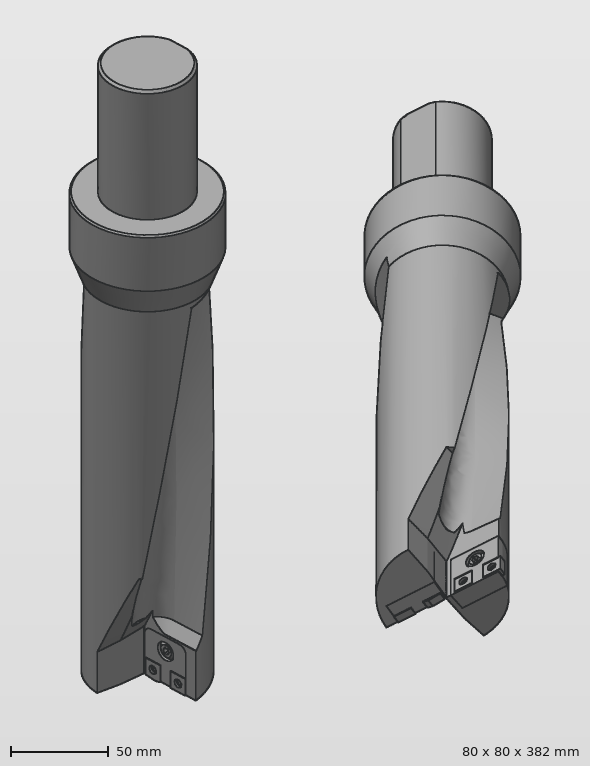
import cadquery as cq
import math

TOTAL_LENGTH = 381.99
SHANK_DIAMETER = 50.79
SHANK_LENGTH = 80.0
SHANK_CHAMFER = 1.5
COLLAR_DIAMETER = 80.0
COLLAR_CHAMFER = 1.0
COLLAR_LENGTH = 34.3
CONE_LENGTH = 17.0
DRILL_DIAMETER = 68.0

shank_radius = SHANK_DIAMETER / 2
collar_radius = COLLAR_DIAMETER / 2
drill_radius = DRILL_DIAMETER / 2
collar_top = TOTAL_LENGTH - SHANK_LENGTH
cone_top = collar_top - COLLAR_LENGTH
cone_bottom = cone_top - CONE_LENGTH
REACH = 60.0
BELOW_POINT_Z = -1.0

FLAT_Y = 23.1
FLAT_RAMP_HEIGHT = 7.0
FLAT_RAMP_RUN = 3.0

POINT_RIDGE_Z = 1.0
POINT_RISE = 4.0

TWIST_START_Z = 37.0
TWIST_PER_MM = 0.282
FLUTE_END_Z = 251.7
FLUTE_END_TILT = 12.0
FLUTE_ANGLE = 52.0
RUNOUT_HEIGHT = 6.8
RUNOUT_TAPER = 36.0
CENTRAL_FLUTE = {"start_z": 38.7, "vertex": (-13.1, 5.0), "gullet_radius": 13.2}
OUTER_FLUTE = {"start_z": 46.8, "vertex": (-6.0, 0.0), "gullet_radius": 11.2}

CENTRAL_WALL_X = -2.0
OUTER_WALL_X = 2.5
POCKET_WALL_BEND_Y = -18.0
POCKET_WALL_BEND = 5.4
POCKET_TOP_Z = 30.5
SLANT_MID_Z = 63.0
SLANT_BULGE = 3.0
SLANT_TOP = (20.8, 84.0)

CASSETTE_WIDTH = 29.0
CASSETTE_THICKNESS = 11.0
CASSETTE_TOP_Z = POCKET_TOP_Z
CASSETTE_CORNER = 4.5
CASSETTE_BACK_CORNER = 2.5
OUTER_FLAT_DEPTH = 4.0

INSERT_SIZE = 10.5
INSERT_THICKNESS = 4.0
INSERT_PROUD = 0.4
INNER_INSERT_GAP = 0.8
OUTER_INSERT_GAP = 2.5
OUTER_INSERT_OVERHANG = 1.3
OUTER_INSERT_BOTTOM_Z = 2.0
INSERT_BORE = 4.8
INSERT_BORE_DEPTH = 1.5
INSERT_HOLE = 3.0
TIP_OFFSET = 2.0
TIP_DROP = 0.8

SCREW_DIAMETER = 11.0
SCREW_LENGTH = 8.0
SCREW_SINK = 0.3
SCREW_CHAMFER = 1.8
SOCKET_SIDES = 6
SOCKET_DIAMETER = 4.0
SOCKET_DEPTH = 3.0
SCREW_Z = 21.5
SCREW_FROM_CASSETTE_SIDE = 14.7

AXIS_BOTTOM = (0, 0, 0)
AXIS_TOP = (0, 0, 1)


def half_turn(shape):
    """The same shape on the opposite side of the drill axis."""
    return shape.rotate(AXIS_BOTTOM, AXIS_TOP, 180)


def box_between(x_range, y_range, z_range):
    size = [high - low for low, high in (x_range, y_range, z_range)]
    corner = (x_range[0], y_range[0], z_range[0])
    return cq.Workplane("XY").box(*size, centered=False).translate(corner)


def make_blank():
    """Turned shank, collar, cone and drill body."""
    profile = [
        (0, 0),
        (drill_radius, 0),
        (drill_radius, cone_bottom),
        (collar_radius, cone_top),
        (collar_radius, collar_top - COLLAR_CHAMFER),
        (collar_radius - COLLAR_CHAMFER, collar_top),
        (shank_radius, collar_top),
        (shank_radius, TOTAL_LENGTH - SHANK_CHAMFER),
        (shank_radius - SHANK_CHAMFER, TOTAL_LENGTH),
        (0, TOTAL_LENGTH),
    ]
    return cq.Workplane("XZ").polyline(profile).close().revolve(360, (0, 0), (0, 1))


def make_shank_flat():
    profile = [
        (FLAT_Y + FLAT_RAMP_RUN, collar_top),
        (FLAT_Y, collar_top + FLAT_RAMP_HEIGHT),
        (FLAT_Y, TOTAL_LENGTH),
        (REACH, TOTAL_LENGTH),
        (REACH, collar_top),
    ]
    return cq.Workplane("YZ").polyline(profile).close().extrude(shank_radius, both=True)


def make_point_cutter():
    """Material below the two sloping faces of the drill point."""
    slope = POINT_RISE / drill_radius
    profile = [
        (0, POINT_RIDGE_Z),
        (REACH, POINT_RIDGE_Z + slope * REACH),
        (REACH, BELOW_POINT_Z),
        (-REACH, BELOW_POINT_Z),
        (-REACH, POINT_RIDGE_Z + slope * REACH),
    ]
    return cq.Workplane("YZ").polyline(profile).close().extrude(REACH, both=True)


def make_flute(start_z, vertex, gullet_radius):
    """Helical flute on the +X side; vertex is where its two straight walls would meet."""
    angle = math.radians(FLUTE_ANGLE)
    tangent = gullet_radius / math.tan(angle / 2)
    to_middle = gullet_radius / math.sin(angle / 2) - gullet_radius

    def from_vertex(distance, direction):
        return (
            vertex[0] + distance * math.cos(direction),
            vertex[1] - distance * math.sin(direction),
        )

    def section():
        return (
            cq.Workplane("XY", origin=(0, 0, start_z))
            .moveTo(*from_vertex(REACH, 0))
            .lineTo(*from_vertex(tangent, 0))
            .threePointArc(from_vertex(to_middle, angle / 2), from_vertex(tangent, angle))
            .lineTo(*from_vertex(REACH, angle))
            .lineTo(REACH, -REACH)
            .close()
        )

    length = cone_top - start_z
    start_turn = TWIST_PER_MM * (start_z - TWIST_START_Z)
    twisted = section().twistExtrude(length, TWIST_PER_MM * length)
    runout = section().extrude(-RUNOUT_HEIGHT, taper=RUNOUT_TAPER)
    end_turn = TWIST_PER_MM * (FLUTE_END_Z - TWIST_START_Z) - FLUTE_ANGLE / 2
    above = (
        cq.Workplane("XY")
        .box(2 * REACH, 2 * REACH, REACH, centered=(True, True, False))
        .rotate(AXIS_BOTTOM, (1, 0, 0), FLUTE_END_TILT)
        .rotate(AXIS_BOTTOM, AXIS_TOP, end_turn)
        .translate((0, 0, FLUTE_END_Z))
    )
    return twisted.union(runout).rotate(AXIS_BOTTOM, AXIS_TOP, start_turn).cut(above)


def make_chip_pocket(wall_x):
    """Quarter pocket on the +X side with a wall that curves out to meet the flute."""
    slant_mid = ((wall_x + SLANT_TOP[0]) / 2 + SLANT_BULGE, SLANT_MID_Z)

    def wall_prism(front_y):
        return (
            cq.Workplane("XZ", origin=(0, front_y, 0))
            .moveTo(wall_x, BELOW_POINT_Z)
            .lineTo(wall_x, POCKET_TOP_Z)
            .threePointArc(slant_mid, SLANT_TOP)
            .lineTo(REACH, SLANT_TOP[1])
            .lineTo(REACH, BELOW_POINT_Z)
            .close()
            .extrude(REACH)
        )

    bend = (wall_x, POCKET_WALL_BEND_Y)
    bent = wall_prism(POCKET_WALL_BEND_Y).rotate((*bend, 0), (*bend, 1), -POCKET_WALL_BEND)
    return wall_prism(0).union(bent)


def make_insert(inner_x, bottom_z, tip_drop):
    """Square insert, proud of the cassette face; tip_drop makes its lower edge pointed."""
    middle_x = inner_x + INSERT_SIZE / 2
    middle_z = bottom_z + INSERT_SIZE / 2
    outline = [
        (inner_x, bottom_z),
        (inner_x, bottom_z + INSERT_SIZE),
        (inner_x + INSERT_SIZE, bottom_z + INSERT_SIZE),
        (inner_x + INSERT_SIZE, bottom_z),
    ]
    if tip_drop > 0:
        outline.append((middle_x + TIP_OFFSET, bottom_z - tip_drop))
    face = cq.Workplane("XZ", origin=(0, -INSERT_PROUD, 0))
    blank = face.polyline(outline).close().extrude(-INSERT_THICKNESS - INSERT_PROUD)
    center = face.center(middle_x, middle_z)
    bore = center.circle(INSERT_BORE / 2).extrude(-INSERT_BORE_DEPTH)
    hole = center.circle(INSERT_HOLE / 2).extrude(-INSERT_THICKNESS)
    return blank, bore.union(hole)


def make_seat(inner_x):
    """Block that a cassette fills."""
    return box_between(
        (inner_x, inner_x + CASSETTE_WIDTH),
        (0, CASSETTE_THICKNESS),
        (BELOW_POINT_Z, CASSETTE_TOP_Z),
    )


def screw_position(inner_x):
    return inner_x + SCREW_FROM_CASSETTE_SIDE, 0, SCREW_Z


def make_cassette(seat, inner_x, inserts):
    """Cassette with its inserts and screw recess; seat is the block trimmed to the drill."""
    cassette = seat
    holes = []
    for insert_x, bottom_z, tip_drop in inserts:
        blank, hole = make_insert(insert_x, bottom_z, tip_drop)
        cassette = cassette.union(blank)
        holes.append(hole)
    for hole in holes:
        cassette = cassette.cut(hole)
    recess = (
        cq.Workplane("XZ", origin=screw_position(inner_x))
        .circle(SCREW_DIAMETER / 2)
        .extrude(-SCREW_LENGTH)
    )
    return cassette.cut(recess)


def make_screw(inner_x):
    """Cassette screw with a chamfered head and a hexagon socket."""
    x, y, z = screw_position(inner_x)
    head_face = cq.Workplane("XZ", origin=(x, y + SCREW_SINK, z))
    blank = head_face.circle(SCREW_DIAMETER / 2).extrude(SCREW_SINK - SCREW_LENGTH)
    socket = head_face.polygon(SOCKET_SIDES, SOCKET_DIAMETER).extrude(-SOCKET_DEPTH)
    return blank.faces("<Y").chamfer(SCREW_CHAMFER).cut(socket)


drill = make_blank().cut(make_shank_flat()).cut(make_point_cutter())
drill = drill.cut(make_flute(**CENTRAL_FLUTE)).cut(make_chip_pocket(CENTRAL_WALL_X))
drill = drill.cut(half_turn(make_flute(**OUTER_FLUTE))).cut(half_turn(make_chip_pocket(OUTER_WALL_X)))

central_x = CENTRAL_WALL_X
central_block = make_seat(central_x).edges("|Y and >Z").fillet(CASSETTE_CORNER)
central_seat = central_block.intersect(drill)
central_inserts = [
    (central_x + INNER_INSERT_GAP, TIP_DROP, TIP_DROP),
    (central_x + CASSETTE_WIDTH - INSERT_SIZE, TIP_DROP, 0),
]
central_cassette = make_cassette(central_seat, central_x, central_inserts)
central_screw = make_screw(central_x)

outer_x = drill_radius - CASSETTE_WIDTH
outer_flat_x = math.sqrt(drill_radius**2 - OUTER_FLAT_DEPTH**2)
outer_flat = box_between((outer_flat_x, REACH), (0, OUTER_FLAT_DEPTH), (BELOW_POINT_Z, CASSETTE_TOP_Z))
outer_block = make_seat(outer_x).edges(">Y and >Z").fillet(CASSETTE_BACK_CORNER)
outer_seat = outer_block.intersect(half_turn(drill))
outer_inserts = [
    (outer_x + OUTER_INSERT_GAP, OUTER_INSERT_BOTTOM_Z, 0),
    (drill_radius + OUTER_INSERT_OVERHANG - INSERT_SIZE, OUTER_INSERT_BOTTOM_Z, 0),
]
outer_cassette = half_turn(make_cassette(outer_seat.cut(outer_flat), outer_x, outer_inserts))
outer_screw = half_turn(make_screw(outer_x))

drill_body = drill.cut(central_seat).cut(half_turn(outer_seat))

result = cq.Compound.makeCompound(
    [
        drill_body.solids().val(),
        central_cassette.solids().val(),
        outer_cassette.solids().val(),
        central_screw.solids().val(),
        outer_screw.solids().val(),
    ]
)